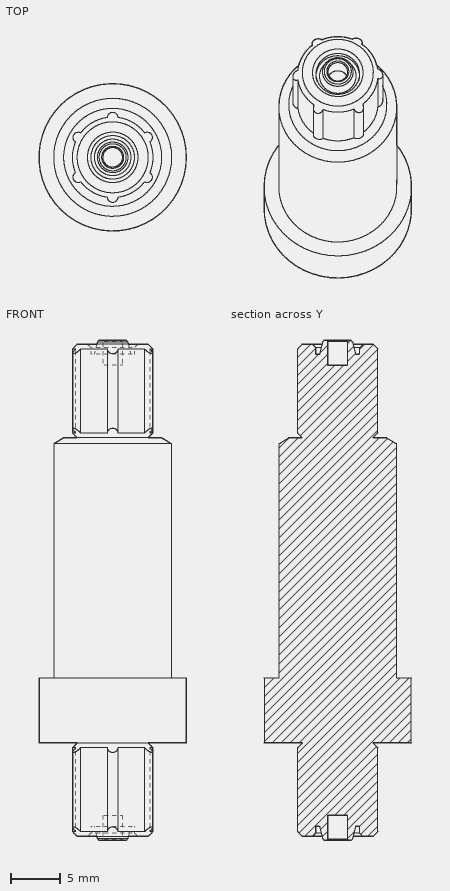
import cadquery as cq

total_length = 50.8
stud_projection = 0.4
knob_length = 9.5
flange_height = 6.6
flange_diameter = 15.0
flange_bottom = stud_projection + knob_length
flange_top = flange_bottom + flange_height
body_top = total_length - flange_bottom

body_diameter = 12.0
body_chamfer_width = 1.0
body_chamfer_height = 0.6

knob_diameter = 8.2
rib_tip_radius = 4.55
rib_width = 1.05
rib_count = 6
knob_face_radius = 3.6
bevel_overrun = 0.25

recess_diameter = 4.4
recess_mouth_diameter = 5.15
recess_depth = 1.0
recess_chamfer = (recess_mouth_diameter - recess_diameter) / 2

stud_base_diameter = 3.7
stud_shoulder_diameter = 3.1
stud_tip_diameter = 2.75
stud_chamfer = (stud_shoulder_diameter - stud_tip_diameter) / 2
hole_diameter = 2.0
hole_mouth_diameter = 2.25
hole_depth = 2.55
hole_chamfer = (hole_mouth_diameter - hole_diameter) / 2


def revolve_profile(points):
    """Revolve a closed (radius, height) outline around Z."""
    profile = cq.Workplane("XZ").polyline(points).close()
    return profile.revolve(360, (0, 0, 0), (0, 1, 0))


def make_body():
    body_radius = body_diameter / 2
    flange_radius = flange_diameter / 2
    return revolve_profile([
        (0, flange_bottom),
        (flange_radius, flange_bottom),
        (flange_radius, flange_top),
        (body_radius, flange_top),
        (body_radius, body_top - body_chamfer_height),
        (body_radius - body_chamfer_width, body_top),
        (0, body_top),
    ])


def make_ribbed_knob():
    """Knob with round-tipped ribs; 45-degree cones bevel both its ends."""
    rib_radius = rib_width / 2
    rib_center = rib_tip_radius - rib_radius
    knob = cq.Workplane("XY").circle(knob_diameter / 2).extrude(knob_length)
    for index in range(rib_count):
        web = cq.Workplane("XY").center(0, rib_center / 2).rect(rib_width, rib_center)
        tip = cq.Workplane("XY").center(0, rib_center).circle(rib_radius)
        rib = web.extrude(knob_length).union(tip.extrude(knob_length))
        knob = knob.union(rib.rotate((0, 0, 0), (0, 0, 1), index * 360 / rib_count))
    bevel = rib_tip_radius - knob_face_radius + bevel_overrun
    envelope_radius = knob_face_radius + bevel
    envelope = revolve_profile([
        (0, 0),
        (knob_face_radius, 0),
        (envelope_radius, bevel),
        (envelope_radius, knob_length - bevel),
        (knob_face_radius, knob_length),
        (0, knob_length),
    ])
    return knob.intersect(envelope)


def make_recess():
    radius = recess_diameter / 2
    floor = knob_length - recess_depth
    return revolve_profile([
        (0, floor),
        (radius, floor),
        (radius, knob_length - recess_chamfer),
        (recess_mouth_diameter / 2, knob_length),
        (0, knob_length),
    ])


def make_stud():
    tip = knob_length + stud_projection
    floor = knob_length - recess_depth
    return revolve_profile([
        (0, floor),
        (stud_base_diameter / 2, floor),
        (stud_shoulder_diameter / 2, tip - stud_chamfer),
        (stud_tip_diameter / 2, tip),
        (0, tip),
    ])


def make_hole():
    radius = hole_diameter / 2
    tip = knob_length + stud_projection
    return revolve_profile([
        (0, tip - hole_depth),
        (radius, tip - hole_depth),
        (radius, tip - hole_chamfer),
        (hole_mouth_diameter / 2, tip),
        (0, tip),
    ])


def make_end():
    """One knob with its recess, stud and hole, outer face up, inner face at Z = 0."""
    return make_ribbed_knob().cut(make_recess()).union(make_stud()).cut(make_hole())


end = make_end()
upper_end = end.translate((0, 0, body_top))
lower_end = end.mirror("XY").translate((0, 0, flange_bottom))
result = make_body().union(upper_end).union(lower_end)